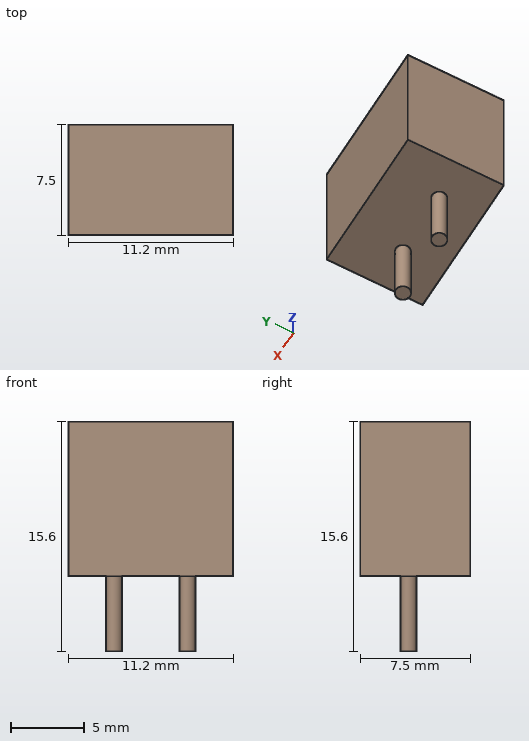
import cadquery as cq

body_length = 11.2
body_width = 7.5
total_height = 15.6

pin_diameter = 1.1
pin_pitch = 4.99
pin_length = 5.1
pin_offset_y = -0.45

housing_height = total_height - pin_length


def make_housing():
    """Plain rectangular block standing on the XY plane."""
    return cq.Workplane("XY").box(
        body_length, body_width, housing_height, centered=(True, True, False)
    )


def make_pin(x):
    """Round pin hanging from the underside of the housing."""
    return cq.Workplane("XY").center(x, pin_offset_y).circle(pin_diameter / 2).extrude(-pin_length)


housing = make_housing()
pins = [make_pin(side * pin_pitch / 2) for side in (-1, 1)]

result = cq.Compound.makeCompound([housing.val(), *[pin.val() for pin in pins]])